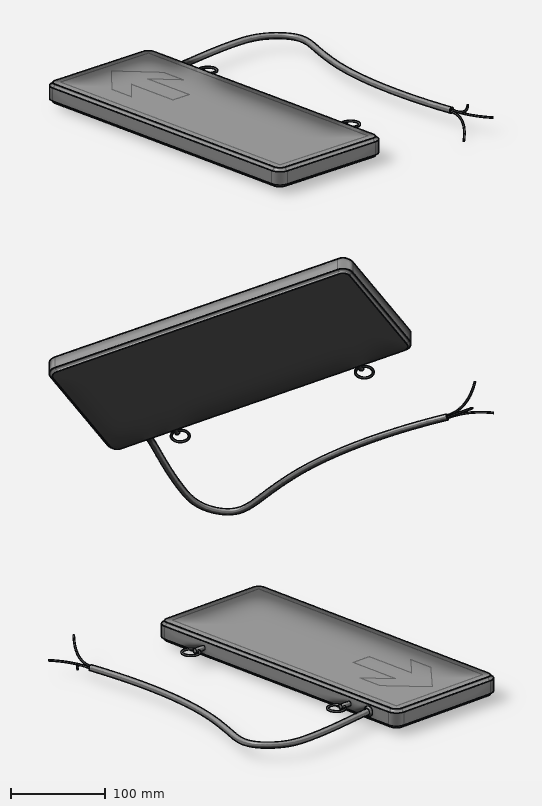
import cadquery as cq

BODY_LENGTH = 362.7
BODY_WIDTH = 150.7
BODY_HEIGHT = 22.0
CORNER_RADIUS = 11.8
COVE_RADIUS = 3.0
COVE_STEP = 0.5

PANEL_INSET = 11.8
PANEL_THICKNESS = 2.0
ARROW_TIP_X = -157.0
ARROW_Y = -1.5
ARROW_LENGTH = 107.7
ARROW_HALF_HEIGHT = 37.3
SHAFT_HALF_HEIGHT = 11.8
HEAD_NEAR = 40.7
HEAD_FAR = 71.0
HEAD_NOTCH = 43.5

EYE_SPACING = 220.7
POST_RADIUS = 2.5
POST_LENGTH = 13.0
RING_RADIUS = 9.5
RING_WIRE_RADIUS = 1.0
RING_CENTER_RISE = 18.5

CABLE_RADIUS = 3.5
CABLE_X = -140.0
CABLE_BENDS = [
    (-145.0, 115.5),
    (-150.0, 170.0),
    (-145.5, 204.0),
    (-117.0, 230.3),
    (-84.0, 223.8),
    (-32.0, 206.3),
    (54.0, 195.0),
]
CABLE_END = (152.5, 200.2)
GROMMET_RADIUS = 5.7
GROMMET_HEIGHT = 2.5
GROMMET_FILLET = 2.0

CORE_RADIUS = 0.95
CORE_OFFSET = 1.5
CORE_OVERLAP = 2.0
CORE_FREE = 5.7
CORE_TIPS = [
    (198.5, 217.5, 0.0),
    (194.0, 185.0, 21.0),
    (193.0, 180.5, -18.5),
]

side_y = BODY_WIDTH / 2
top_z = BODY_HEIGHT / 2


def rod(points, radius):
    """Round rod along a smooth curve through the given points."""
    edge = cq.Edge.makeSpline([cq.Vector(*point) for point in points])
    section = cq.Plane(origin=points[0], normal=edge.tangentAt(0).toTuple())
    path = cq.Workplane(obj=cq.Wire.assembleEdges([edge]))
    return cq.Workplane(section).circle(radius).sweep(path)


def make_slab(inset, height):
    """Rounded box centred on the origin, inset all round from the housing outline."""
    slab = cq.Workplane().box(BODY_LENGTH - 2 * inset, BODY_WIDTH - 2 * inset, height)
    return slab.edges("|Z").fillet(CORNER_RADIUS - inset)


def make_housing():
    """Rounded box whose rims, top and bottom, carry a cove between two small steps."""
    cove_depth = COVE_RADIUS + 2 * COVE_STEP
    coved = make_slab(COVE_STEP, BODY_HEIGHT - 2 * COVE_STEP)
    for face in (">Z", "<Z"):
        rim = coved.faces(face).wires().val()
        section = cq.Plane(origin=rim.startPoint().toTuple(), normal=rim.tangentAt(0).toTuple())
        cove = cq.Workplane(section).circle(COVE_RADIUS).sweep(cq.Workplane(obj=rim))
        coved = coved.cut(cove)
    block = make_slab(cove_depth, BODY_HEIGHT)
    band = make_slab(0, BODY_HEIGHT - 2 * cove_depth)
    return coved.union(block).union(band)


def make_panel():
    """Rectangular face panel, flush with the top of the housing."""
    return (
        cq.Workplane()
        .workplane(offset=top_z - PANEL_THICKNESS)
        .rect(BODY_LENGTH - 2 * PANEL_INSET, BODY_WIDTH - 2 * PANEL_INSET)
        .extrude(PANEL_THICKNESS)
    )


def make_arrow():
    """Arrow pointing along -X, as thick as the panel."""
    upper_half = [
        (HEAD_NEAR, ARROW_HALF_HEIGHT),
        (HEAD_FAR, ARROW_HALF_HEIGHT),
        (HEAD_NOTCH, SHAFT_HALF_HEIGHT),
        (ARROW_LENGTH, SHAFT_HALF_HEIGHT),
    ]
    lower_half = [(x, -y) for x, y in reversed(upper_half)]
    return (
        cq.Workplane(origin=(ARROW_TIP_X, ARROW_Y, top_z - PANEL_THICKNESS))
        .polyline([(0, 0)] + upper_half + lower_half)
        .close()
        .extrude(PANEL_THICKNESS)
    )


def side_peg(x, radius, length):
    """Round peg standing on the +Y side of the housing."""
    return cq.Workplane("XZ", origin=(x, side_y, 0)).circle(radius).extrude(-length)


def make_eye(x):
    """Post with a ring lying in the XY plane through its end."""
    ring = cq.Solid.makeTorus(
        RING_RADIUS,
        RING_WIRE_RADIUS,
        cq.Vector(x, side_y + RING_CENTER_RISE, 0),
        cq.Vector(0, 0, 1),
    )
    return side_peg(x, POST_RADIUS, POST_LENGTH).union(cq.Workplane(obj=ring))


def make_cable():
    """Cable leaving the grommet and bending over towards +X."""
    flat_path = [(CABLE_X, side_y)] + CABLE_BENDS + [CABLE_END]
    cable = rod([(x, y, 0) for x, y in flat_path], CABLE_RADIUS)
    grommet = side_peg(CABLE_X, GROMMET_RADIUS, GROMMET_HEIGHT).faces(">Y").edges().fillet(GROMMET_FILLET)
    return cable.union(grommet)


def make_core(tip):
    """Thin core starting inside the cable end and curving out to its tip."""
    end_x, end_y = CABLE_END
    spread = cq.Vector(0, tip[1] - end_y, tip[2]).normalized() * CORE_OFFSET
    y = end_y + spread.y
    z = spread.z
    return rod([(end_x - CORE_OVERLAP, y, z), (end_x + CORE_FREE, y, z), tip], CORE_RADIUS)


panel = make_panel()
arrow = make_arrow()

result = make_housing().cut(panel)
for x in (-EYE_SPACING / 2, EYE_SPACING / 2):
    result = result.union(make_eye(x))
result = result.union(make_cable())
for core_tip in CORE_TIPS:
    result = result.union(make_core(core_tip))

result = result.union(panel.cut(arrow), clean=False).union(arrow, clean=False)